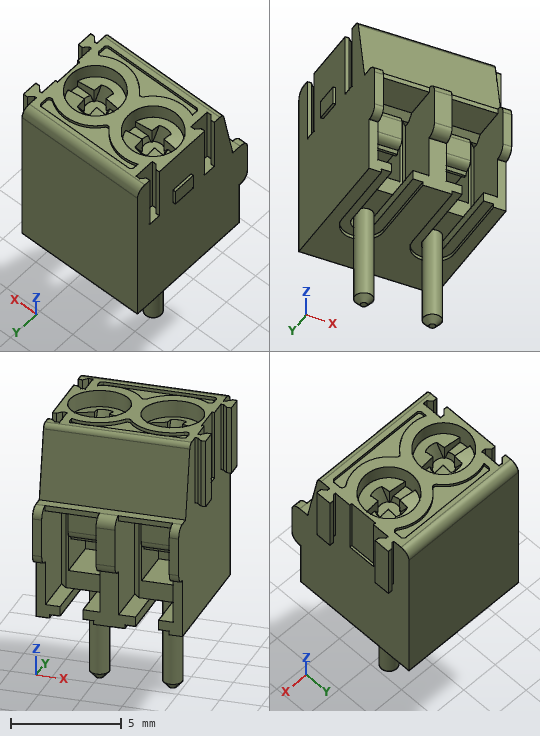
import cadquery as cq
import math

POLE_PITCH = 3.5
POLE_X = [-POLE_PITCH / 2, POLE_PITCH / 2]

WIDTH = 2 * POLE_PITCH
HALF_WIDTH = WIDTH / 2
HEIGHT = 9.15
BACK_Y = 3.06
FRONT_Y = -3.93
NOSE_Y = -4.49
NOSE_TOP = 5.64
NOSE_BOTTOM = 2.8
SLOPE_TOP_Y = -2.83
SLOPE_BOTTOM_Y = -3.48
ROUND_RADIUS = 0.5
FRONT_TOP_RADIUS = 0.27

ENTRY_WIDTH = 2.6
FLOOR_TOP = 0.65
LIP_Y = NOSE_Y + ROUND_RADIUS
ENTRY_CEILING = 5.38

BLOCK_TOP = 5.05
CEILING_DROP = ENTRY_CEILING - BLOCK_TOP
BLOCK_CHAMFER = 0.31
BLOCK_FRONT_Y = -1.91
BLOCK_BACK_Y = 1.36
WIRE_HOLE_WIDTH = 1.72
WIRE_HOLE_BOTTOM = 1.53
WIRE_HOLE_TOP = 3.5
WIRE_HOLE_DEPTH = 2.46
LEAF_WIDTH = 1.53
LEAF_REACH = 0.38
LEAF_BEND = 3.28
LEAF_END = 3.1
LEAF_TIP_SET_BACK = 0.07
LEAF_TIP_THICKNESS = 0.14
PIN_RADIUS = 0.46
PIN_LENGTH = 4.5
PIN_TIP_RADIUS = 0.16
PIN_TIP_HEIGHT = 0.33

SLOT_WIDTH = 1.09
SLOT_OFFSET = 0.05
RECESS_WIDTH = 2.12
RECESS_HEIGHT = 0.18

SCREW_RADIUS = 1.4
SCREW_HOLE_RADIUS = 1.45
SCREW_BOTTOM = 6.82
HEAD_EDGE = HEIGHT - 0.79
HEAD_PEAK = HEIGHT - 0.5
DRIVE_SLOT_WIDTH = 0.65
DRIVE_SLOT_FLOOR = 7.97
CROSS_WIDTH = 0.72
CROSS_FLOOR = 7.68
CROSS_FLOOR_RADIUS = 0.53
CROSS_SLOT_RADIUS = 0.67

DOVETAIL_Y = [-1.88, 1.88]
DOVETAIL_BOTTOM = 5.87
GROOVE = dict(neck_width=0.65, head_width=1.1, neck_length=0.2, flare_end=0.41, length=0.63)
TAIL = dict(neck_width=0.38, head_width=0.85, neck_length=0.12, flare_end=0.34, length=0.57)
LATCH_WIDTH = 1.23
LATCH_BOTTOM = 5.94
LATCH_TOP = 6.87
LATCH_HEIGHT = 0.14
NOTCH_WIDTH = 1.52
NOTCH_DEPTH = 0.12

TOP_GROOVE_DEPTH = 0.16
TOP_GROOVE_LEFT = -2.47
TOP_GROOVE_RIGHT = 3.11
TOP_GROOVE_OUTER_Y = 2.31
TOP_GROOVE_RING = 2.0
TOP_GROOVE_CORNER = 0.16


def box(x0, x1, y0, y1, z0, z1):
    return cq.Workplane("XY").box(x1 - x0, y1 - y0, z1 - z0, centered=False).translate((x0, y0, z0))


def revolved(profile):
    """Body of revolution about Z from (radius, height) points."""
    return cq.Workplane("XZ").polyline(profile).close().revolve(360, (0, 0), (0, 1))


def housing_shell():
    outline = [
        (BACK_Y, 0), (BACK_Y, HEIGHT), (SLOPE_TOP_Y, HEIGHT), (SLOPE_BOTTOM_Y, NOSE_TOP),
        (NOSE_Y, NOSE_TOP), (NOSE_Y, NOSE_BOTTOM), (FRONT_Y, NOSE_BOTTOM), (FRONT_Y, 0),
    ]
    shell = cq.Workplane("YZ").polyline(outline).close().extrude(HALF_WIDTH, both=True)

    rounds = [
        (BACK_Y, HEIGHT, ROUND_RADIUS),
        (SLOPE_TOP_Y, HEIGHT, FRONT_TOP_RADIUS),
        (NOSE_Y, NOSE_TOP, ROUND_RADIUS),
        (NOSE_Y, NOSE_BOTTOM, ROUND_RADIUS),
    ]
    for y, z, radius in rounds:
        shell = shell.edges(cq.NearestToPointSelector((0, y, z))).fillet(radius)
    return shell


def wire_entry(x):
    """Opening through the nose, its ceiling dropping at the inner end to the top of the terminal block."""
    half = ENTRY_WIDTH / 2
    nose_gap = box(x - half, x + half, NOSE_Y, LIP_Y, FLOOR_TOP, NOSE_TOP)
    passage_side = [
        (NOSE_Y, FLOOR_TOP), (NOSE_Y, ENTRY_CEILING), (BLOCK_FRONT_Y - CEILING_DROP, ENTRY_CEILING),
        (BLOCK_FRONT_Y, BLOCK_TOP), (BLOCK_BACK_Y, BLOCK_TOP), (BLOCK_BACK_Y, FLOOR_TOP),
    ]
    passage = cq.Workplane("YZ", origin=(x, 0, 0)).polyline(passage_side).close().extrude(half, both=True)
    return nose_gap.union(passage)


def floor_channel(x, width, height):
    """Channel from the housing front to a round end about the pin."""
    half = width / 2
    channel = box(x - half, x + half, FRONT_Y, 0, 0, height)
    return channel.union(cq.Workplane("XY").center(x, 0).circle(half).extrude(height))


def floor_opening(x):
    centre = x + math.copysign(SLOT_OFFSET, x)
    slot = floor_channel(centre, SLOT_WIDTH, FLOOR_TOP)
    return slot.union(floor_channel(centre, RECESS_WIDTH, RECESS_HEIGHT))


def screw_hole(x):
    hole_floor = cq.Workplane("XY", origin=(x, 0, SCREW_BOTTOM))
    return hole_floor.circle(SCREW_HOLE_RADIUS).extrude(HEIGHT - SCREW_BOTTOM)


def dovetail(x, y, neck_width, head_width, neck_length, flare_end, length):
    """Dovetail prism widening toward +X from the given x."""
    half_outline = [(0, neck_width / 2), (neck_length, neck_width / 2), (flare_end, head_width / 2),
                    (length, head_width / 2)]
    outline = half_outline + [(px, -py) for px, py in reversed(half_outline)]
    prism = cq.Workplane("XY", origin=(x, y, DOVETAIL_BOTTOM)).polyline(outline).close()
    return prism.extrude(HEIGHT - DOVETAIL_BOTTOM)


def top_groove():
    """Shallow groove behind the screws, bounded by rings about both screw axes.

    All upright corners are rounded but the one where the left ring meets the left end.
    """
    floor = HEIGHT - TOP_GROOVE_DEPTH
    groove = box(TOP_GROOVE_LEFT, TOP_GROOVE_RIGHT, 0, TOP_GROOVE_OUTER_Y, floor, HEIGHT)
    for x in POLE_X:
        ring = cq.Workplane("XY", origin=(x, 0, floor)).circle(TOP_GROOVE_RING).extrude(TOP_GROOVE_DEPTH)
        groove = groove.cut(ring)
    groove = cq.Workplane(groove.solids(">Y").val())
    return groove.edges("|Z and (>Y or (not <X))").fillet(TOP_GROOVE_CORNER)


def side_latch():
    half = LATCH_WIDTH / 2
    return box(-HALF_WIDTH - LATCH_HEIGHT, -HALF_WIDTH, -half, half, LATCH_BOTTOM, LATCH_TOP)


def side_notch():
    half = NOTCH_WIDTH / 2
    return box(HALF_WIDTH - NOTCH_DEPTH, HALF_WIDTH, -half, half, DOVETAIL_BOTTOM, HEIGHT)


def make_housing():
    housing = housing_shell()
    for x in POLE_X:
        housing = housing.cut(wire_entry(x)).cut(floor_opening(x)).cut(screw_hole(x))
    for y in DOVETAIL_Y:
        housing = housing.cut(dovetail(-HALF_WIDTH, y, **GROOVE))
        housing = housing.union(dovetail(HALF_WIDTH, y, **TAIL))
    groove = top_groove()
    housing = housing.cut(groove).cut(groove.mirror("XZ"))
    return housing.union(side_latch()).cut(side_notch())


def terminal_block(x):
    half = ENTRY_WIDTH / 2
    block = box(x - half, x + half, BLOCK_FRONT_Y, BLOCK_BACK_Y, FLOOR_TOP, BLOCK_TOP)
    block = block.edges("|Z and <Y").chamfer(BLOCK_CHAMFER)
    hole_half = WIRE_HOLE_WIDTH / 2
    hole_back = BLOCK_FRONT_Y + WIRE_HOLE_DEPTH
    hole = box(x - hole_half, x + hole_half, BLOCK_FRONT_Y, hole_back, WIRE_HOLE_BOTTOM, WIRE_HOLE_TOP)
    return block.cut(hole)


def leaf(x):
    """Leaf on the front of the block, rounded above and below, its tip turned back into the wire hole."""
    diagonal = LEAF_REACH * math.sqrt(0.5)
    leaf_front = BLOCK_FRONT_Y - LEAF_REACH
    upper_centre = BLOCK_TOP - LEAF_REACH
    lower_centre = LEAF_BEND + LEAF_REACH
    tip_y = BLOCK_FRONT_Y + LEAF_TIP_SET_BACK
    back_y = tip_y + LEAF_TIP_THICKNESS
    outline = (
        cq.Workplane("YZ", origin=(x, 0, 0))
        .moveTo(BLOCK_FRONT_Y, BLOCK_TOP)
        .threePointArc((BLOCK_FRONT_Y - diagonal, upper_centre + diagonal), (leaf_front, upper_centre))
        .lineTo(leaf_front, lower_centre)
        .threePointArc((BLOCK_FRONT_Y - diagonal, lower_centre - diagonal), (BLOCK_FRONT_Y, LEAF_BEND))
        .lineTo(tip_y, LEAF_END)
        .lineTo(back_y, LEAF_END)
        .lineTo(back_y, WIRE_HOLE_TOP)
        .lineTo(BLOCK_FRONT_Y, WIRE_HOLE_TOP)
        .close()
    )
    return outline.extrude(LEAF_WIDTH / 2, both=True)


def solder_pin(x):
    profile = [
        (0, FLOOR_TOP), (PIN_RADIUS, FLOOR_TOP), (PIN_RADIUS, PIN_TIP_HEIGHT - PIN_LENGTH),
        (PIN_TIP_RADIUS, -PIN_LENGTH), (0, -PIN_LENGTH),
    ]
    return revolved(profile).translate((x, 0, 0))


def make_terminal(x):
    return terminal_block(x).union(leaf(x)).union(solder_pin(x))


def cross_recess():
    """Tapered round recess, kept only where the arms of the cross reach."""
    flare = (CROSS_SLOT_RADIUS - CROSS_FLOOR_RADIUS) / (DRIVE_SLOT_FLOOR - CROSS_FLOOR)
    top_radius = CROSS_FLOOR_RADIUS + flare * (HEAD_PEAK - CROSS_FLOOR)
    cone = revolved([
        (0, CROSS_FLOOR), (CROSS_FLOOR_RADIUS, CROSS_FLOOR), (top_radius, HEAD_PEAK), (0, HEAD_PEAK),
    ])
    half_slot = DRIVE_SLOT_WIDTH / 2
    half_cross = CROSS_WIDTH / 2
    arm_x = box(-SCREW_RADIUS, SCREW_RADIUS, -half_slot, half_slot, CROSS_FLOOR, HEAD_PEAK)
    arm_y = box(-half_cross, half_cross, -SCREW_RADIUS, SCREW_RADIUS, CROSS_FLOOR, HEAD_PEAK)
    return cone.intersect(arm_x.union(arm_y))


def make_screw(x):
    screw = revolved([
        (0, SCREW_BOTTOM), (SCREW_RADIUS, SCREW_BOTTOM), (SCREW_RADIUS, HEAD_EDGE), (0, HEAD_PEAK),
    ])
    half_slot = DRIVE_SLOT_WIDTH / 2
    slot = box(-SCREW_RADIUS, SCREW_RADIUS, -half_slot, half_slot, DRIVE_SLOT_FLOOR, HEAD_PEAK)
    return screw.cut(slot).cut(cross_recess()).translate((x, 0, 0))


housing = make_housing()
terminals = [make_terminal(x) for x in POLE_X]
screws = [make_screw(x) for x in POLE_X]

result = cq.Compound.makeCompound([
    housing.val(),
    *[terminal.val() for terminal in terminals],
    *[screw.val() for screw in screws],
])